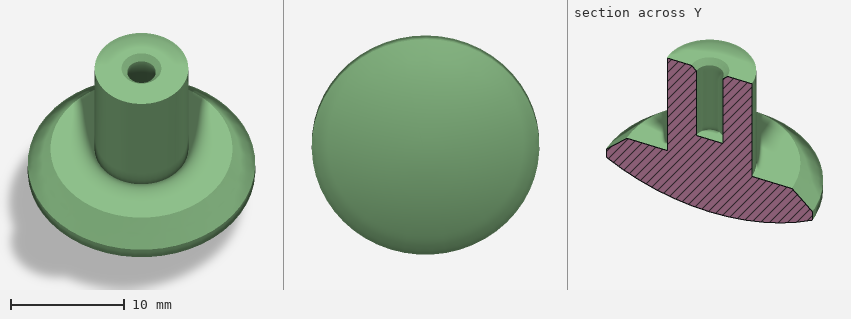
import cadquery as cq

head_diameter = 20.0
bevel = 2.0
rim_height = 1.0
dome_height = 2.7
stem_diameter = 8.25
total_height = 16.5
hole_diameter = 2.5
hole_depth = 8.0
countersink = 0.5

head_radius = head_diameter / 2
head_height = dome_height + rim_height + bevel
stem_height = total_height - head_height
dome_radius = (head_radius**2 + dome_height**2) / (2 * dome_height)
mid_radius = head_radius / 2
mid_height = dome_radius - (dome_radius**2 - mid_radius**2) ** 0.5


def make_head():
    """Revolve the domed, bevelled disc about the Z axis."""
    return (
        cq.Workplane("XZ")
        .moveTo(0, 0)
        .threePointArc((mid_radius, mid_height), (head_radius, dome_height))
        .lineTo(head_radius, dome_height + rim_height)
        .lineTo(head_radius - bevel, head_height)
        .lineTo(0, head_height)
        .close()
        .revolve(360, (0, 0, 0), (0, 1, 0))
    )


def make_stem():
    """Cylindrical stem with a countersunk blind hole in its end."""
    return (
        cq.Workplane("XY")
        .workplane(offset=head_height)
        .circle(stem_diameter / 2)
        .extrude(stem_height)
        .faces(">Z")
        .workplane()
        .hole(hole_diameter, hole_depth)
        .faces(">Z")
        .edges("%CIRCLE")
        .edges(cq.selectors.RadiusNthSelector(0))
        .chamfer(countersink)
    )


result = make_head().union(make_stem())